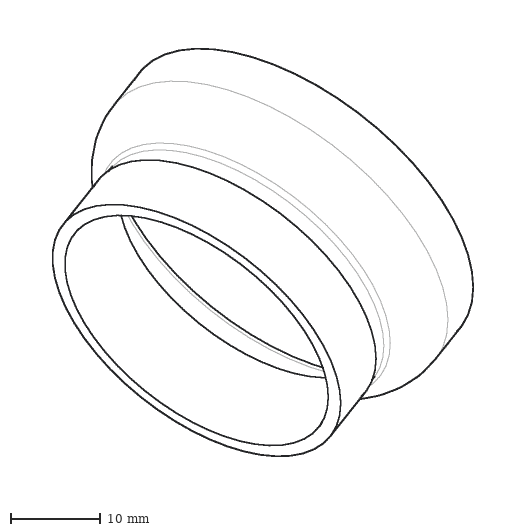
import cadquery as cq
import math

rim_radius = 22.92
collar_radius = 19.07
neck_radius = 18.8
total_length = 21.65
rim_length = 5.35
collar_length = 7.4
shoulder_radius = 7.0
fillet_radius = 0.8
bore_radius = 17.42
cavity_radius = 22.15
inner_shoulder_radius = 5.05
cavity_depth = 16.75

rim_start = total_length - rim_length

shoulder_center = (rim_radius - shoulder_radius, rim_start)
fillet_center_distance = neck_radius + fillet_radius
radial_gap = fillet_center_distance - shoulder_center[0]
axial_gap = math.sqrt((shoulder_radius + fillet_radius) ** 2 - radial_gap**2)
neck_end = rim_start - axial_gap
fillet_center = (fillet_center_distance, neck_end)
join_angle = math.atan2(-axial_gap, radial_gap)

inner_shoulder_center = (cavity_radius - inner_shoulder_radius, rim_start)
bore_edge_angle = -math.acos((bore_radius - inner_shoulder_center[0]) / inner_shoulder_radius)


def on_circle(center, radius, angle):
    return (center[0] + radius * math.cos(angle), center[1] + radius * math.sin(angle))


def turn(profile):
    """Revolve a closed half-profile about the Y axis."""
    return profile.close().revolve(360, (0, 0, 0), (0, 1, 0))


outer_body = turn(
    cq.Workplane("XY")
    .lineTo(collar_radius, 0)
    .lineTo(collar_radius, collar_length)
    .lineTo(neck_radius, collar_length)
    .lineTo(neck_radius, neck_end)
    .threePointArc(
        on_circle(fillet_center, fillet_radius, math.pi + join_angle / 2),
        on_circle(shoulder_center, shoulder_radius, join_angle),
    )
    .threePointArc(
        on_circle(shoulder_center, shoulder_radius, join_angle / 2),
        (rim_radius, rim_start),
    )
    .lineTo(rim_radius, total_length)
    .lineTo(0, total_length)
)

cavity = turn(
    cq.Workplane("XY")
    .lineTo(bore_radius, 0)
    .lineTo(*on_circle(inner_shoulder_center, inner_shoulder_radius, bore_edge_angle))
    .threePointArc(
        on_circle(inner_shoulder_center, inner_shoulder_radius, bore_edge_angle / 2),
        (cavity_radius, rim_start),
    )
    .lineTo(cavity_radius, cavity_depth)
    .lineTo(0, cavity_depth)
)

result = outer_body.cut(cavity)